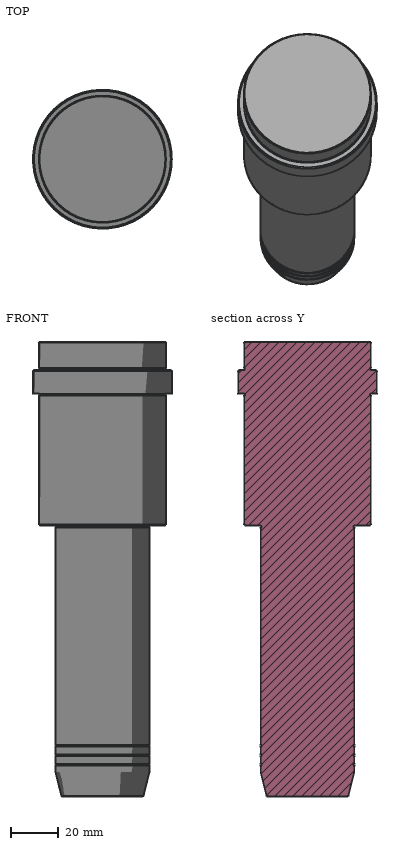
import cadquery as cq

total_length = 193.0
head_height = 12.0
collar_height = 10.0
shoulder_depth = 78.0

head_diameter = 54.0
collar_diameter = 59.0
shank_diameter = 40.0
nose_diameter = 34.7

neck_width = 1.0
neck_depth = 0.4
edge_chamfer = 0.5
head_chamfer = 0.4
nose_height = 10.5
nose_chamfer = 0.4
groove_width = 0.8
groove_depth = 0.4
groove_pitch = 4.0
first_groove_height = 13.5
groove_count = 3

collar_top = total_length - head_height
collar_bottom = collar_top - collar_height
shoulder_height = total_length - shoulder_depth


def cylinder(diameter, bottom, top):
    """Solid cylinder on the Z axis between two heights."""
    return cq.Workplane("XY").workplane(offset=bottom).circle(diameter / 2).extrude(top - bottom)


def ring_groove(diameter, depth, bottom, width):
    """V-shaped ring cutter that removes a groove from a cylinder of the given diameter."""
    radius = diameter / 2
    return (
        cq.Workplane("XZ")
        .moveTo(radius, bottom)
        .lineTo(radius - depth, bottom + width / 2)
        .lineTo(radius, bottom + width)
        .lineTo(radius + depth, bottom + width)
        .lineTo(radius + depth, bottom)
        .close()
        .revolve(360, (0, 0, 0), (0, 1, 0))
    )


sleeve = cylinder(head_diameter, shoulder_height, total_length)
sleeve = sleeve.faces("<Z").edges().chamfer(edge_chamfer)
sleeve = sleeve.faces(">Z").edges().chamfer(head_chamfer)
for neck_bottom in (collar_top, collar_bottom - neck_width):
    sleeve = sleeve.cut(ring_groove(head_diameter, neck_depth, neck_bottom, neck_width))
collar = cylinder(collar_diameter, collar_bottom, collar_top).faces(">Z").edges().chamfer(edge_chamfer)

shank = cylinder(shank_diameter, nose_height, shoulder_height)
for index in range(groove_count):
    groove_middle = first_groove_height + index * groove_pitch
    groove_bottom = groove_middle - groove_width / 2
    shank = shank.cut(ring_groove(shank_diameter, groove_depth, groove_bottom, groove_width))

shank_neck_bottom = shoulder_height - neck_width
shank = shank.cut(ring_groove(shank_diameter, neck_depth, shank_neck_bottom, neck_width))

nose = (
    cq.Workplane("XY")
    .circle(nose_diameter / 2)
    .workplane(offset=nose_height)
    .circle(shank_diameter / 2)
    .loft(ruled=True)
    .faces("<Z")
    .edges()
    .chamfer(nose_chamfer)
)

result = sleeve.union(collar).union(shank).union(nose)